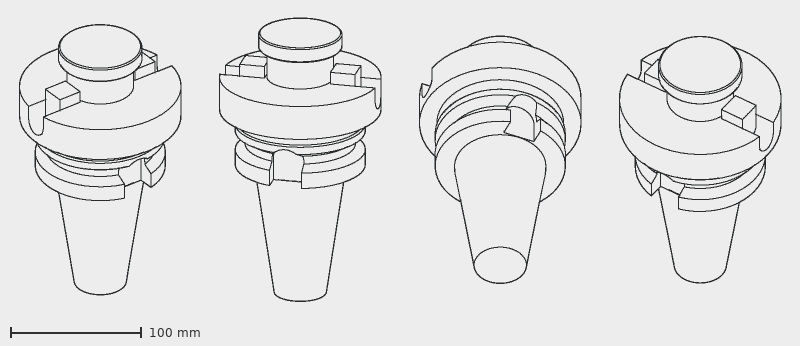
import cadquery as cq

TOTAL_HEIGHT = 213.3
GAUGE_RADIUS = 35.0
GAUGE_Z = 101.8
TAPER_RATIO = 7 / 24
TAPER_END_RADIUS = GAUGE_RADIUS - GAUGE_Z * TAPER_RATIO / 2

FLANGE_RADIUS = 50.0
FLANGE_BOTTOM_Z = 105.0
FLANGE_SHOULDER_Z = 117.5
GROOVE_RADIUS = 42.2
GROOVE_BOTTOM_Z = 122.0
GROOVE_TOP_Z = 128.5
RING_BOTTOM_Z = 133.0
NECK_RADIUS = 48.6
FLANGE_CHAMFER = FLANGE_RADIUS - NECK_RADIUS
RING_TOP_Z = 140.2

HEAD_RADIUS = 61.97
HEAD_BOTTOM_Z = 150.2
HEAD_TOP_Z = 177.3
SPIGOT_RADIUS = 25.5

CAP_RADIUS = 32.0
CAP_THICKNESS = 12.2
CAP_CHAMFER = 1.0
CAP_BOTTOM_Z = TOTAL_HEIGHT - CAP_THICKNESS

KEY_WIDTH = 18.8
KEY_INNER_Y = 26.0
KEY_OUTER_Y = 45.5
KEY_TOP_Z = 186.9
SLOT_BOTTOM_Z = 157.2

KEYWAY_WIDTH = 25.2
KEYWAY_TOP_Z = 136.3
KEYWAY_FLOOR_X = 35.5


def turned_holder():
    """Shank, flange, head and spigot as one revolved profile."""
    profile = [
        (0, 0),
        (TAPER_END_RADIUS, 0),
        (GAUGE_RADIUS, GAUGE_Z),
        (GAUGE_RADIUS, FLANGE_BOTTOM_Z),
        (FLANGE_RADIUS, FLANGE_BOTTOM_Z),
        (FLANGE_RADIUS, FLANGE_SHOULDER_Z),
        (GROOVE_RADIUS, GROOVE_BOTTOM_Z),
        (GROOVE_RADIUS, GROOVE_TOP_Z),
        (FLANGE_RADIUS, RING_BOTTOM_Z),
        (FLANGE_RADIUS, RING_TOP_Z - FLANGE_CHAMFER),
        (NECK_RADIUS, RING_TOP_Z),
        (NECK_RADIUS, HEAD_BOTTOM_Z),
        (HEAD_RADIUS, HEAD_BOTTOM_Z),
        (HEAD_RADIUS, HEAD_TOP_Z),
        (SPIGOT_RADIUS, HEAD_TOP_Z),
        (SPIGOT_RADIUS, CAP_BOTTOM_Z),
        (0, CAP_BOTTOM_Z),
    ]
    return cq.Workplane("XZ").polyline(profile).close().revolve(360, (0, 0), (0, 1))


def driving_key():
    """Block standing on the -Y side of the head."""
    length = KEY_OUTER_Y - KEY_INNER_Y
    return (
        cq.Workplane("XY", origin=(0, -(KEY_INNER_Y + KEY_OUTER_Y) / 2, HEAD_BOTTOM_Z))
        .rect(KEY_WIDTH, length)
        .extrude(KEY_TOP_Z - HEAD_BOTTOM_Z)
    )


def head_slot():
    """Round-bottomed cutter from the -Y key's outer face to the head's rim."""
    radius = KEY_WIDTH / 2
    center_z = SLOT_BOTTOM_Z + radius
    return (
        cq.Workplane("XZ", origin=(0, -KEY_OUTER_Y, 0))
        .moveTo(-radius, HEAD_TOP_Z)
        .lineTo(-radius, center_z)
        .threePointArc((0, SLOT_BOTTOM_Z), (radius, center_z))
        .lineTo(radius, HEAD_TOP_Z)
        .close()
        .extrude(HEAD_RADIUS - KEY_OUTER_Y)
    )


def flange_keyway():
    """Round-topped cutter through the +X side of the flange."""
    radius = KEYWAY_WIDTH / 2
    center_z = KEYWAY_TOP_Z - radius
    return (
        cq.Workplane("YZ", origin=(KEYWAY_FLOOR_X, 0, 0))
        .moveTo(-radius, FLANGE_BOTTOM_Z)
        .lineTo(-radius, center_z)
        .threePointArc((0, KEYWAY_TOP_Z), (radius, center_z))
        .lineTo(radius, FLANGE_BOTTOM_Z)
        .close()
        .extrude(FLANGE_RADIUS - KEYWAY_FLOOR_X)
    )


def make_holder():
    """Holder with its keys, slots and keyways, each on two opposite sides."""
    holder = turned_holder()
    for angle in (0, 180):
        holder = holder.union(driving_key().rotate((0, 0, 0), (0, 0, 1), angle))
        holder = holder.cut(head_slot().rotate((0, 0, 0), (0, 0, 1), angle))
        holder = holder.cut(flange_keyway().rotate((0, 0, 0), (0, 0, 1), angle))
    return holder


def make_cap():
    """Chamfered disc resting on the end of the spigot."""
    return (
        cq.Workplane("XY", origin=(0, 0, CAP_BOTTOM_Z))
        .circle(CAP_RADIUS)
        .extrude(CAP_THICKNESS)
        .edges("%CIRCLE")
        .chamfer(CAP_CHAMFER)
    )


holder = make_holder()
cap = make_cap()
result = cq.Compound.makeCompound([holder.val(), cap.val()])